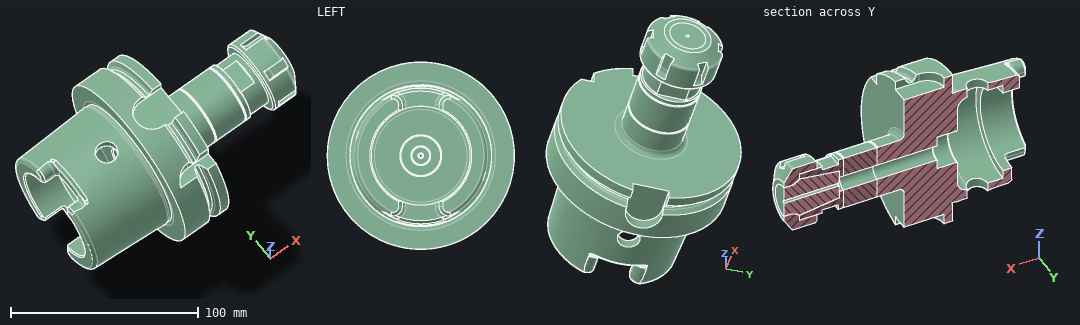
import cadquery as cq
import math


SHANK_LENGTH = 49.7
OVERALL_LENGTH = 151.0
FLANGE_WIDTH = 29.3
HOLDER_END = 45.5
EXTENSION_END = 65.5
SHANK_START = -SHANK_LENGTH
NOSE_END = OVERALL_LENGTH + SHANK_START

CLEARANCE = 0.2

TAPER_LARGE_RADIUS = 37.9
TAPER_SLOPE = 0.05
TAPER_END = -2.4
SHANK_EDGE_FILLET = 2.0
RELIEF_RADIUS = 37.6
RELIEF_OUTER_RADIUS = 39.9
RELIEF_DEPTH = 0.3

BORE_RADIUS = 26.5
BORE_CHAMFER = 0.8
BORE_DEPTH = 19.6
CAVITY_RADIUS = 31.5
CAVITY_DEPTH = 46.8
CAVITY_FILLET = 6.8
COOLANT_RADIUS = 10.5
COOLANT_CHAMFER = 0.6
COOLANT_DEPTH = 12.1
PASSAGE_RADIUS = 4.7
PASSAGE_CHAMFER = 0.6

SLOT_HALF_WIDTH = 9.8
SLOT_STRAIGHT_HEIGHT = 27.2
SLOT_FLARE_RADIUS = 5.0
SLOT_FLARE_SWEEP = 105.0
SLOT_CORNER_FILLET = 2.0
SLOT_MOUTH_CHAMFER_WIDTH = 2.0
SLOT_MOUTH_CHAMFER_LENGTH = 1.4
SLOT_FLOOR_CHAMFER_LENGTH = 2.0
SLOT_FLOOR_CHAMFER_DEPTH = 1.7
UPPER_SLOT_DEPTH = 9.5
LOWER_SLOT_DEPTH = 14.2

CROSS_HOLE_X = -14.8
CROSS_HOLE_RADIUS = 6.0

FLANGE_RADIUS = 50.0
GROOVE_X = 20.1
GROOVE_HALF_WIDTH = 3.5
GROOVE_BEND_HALF_WIDTH = 2.0
GROOVE_BEND_RADIUS = 47.1
GROOVE_FLOOR_HALF_WIDTH = 1.0
GROOVE_FLOOR_RADIUS = 46.0
KEYWAY_X = 15.3
KEYWAY_RADIUS = 10.0
KEYWAY_FLOOR = 43.6
NOTCH_WALL = 31.7

NECK_RADIUS = 17.0
NECK_FILLET = 3.0
JOINT_CHAMFER = 0.5

HEAD_SHOULDER_END = 68.7
HEAD_SHOULDER_CHAMFER = 0.5
HEAD_RADIUS = 16.0
HEAD_FLAT = 13.9
HEAD_FLAT_END = 78.2
HEAD_END = 92.1

COLLET_START = 68.0
COLLET_BACK_RADIUS = 8.9
COLLET_TAPER_ANGLE = 8.0
COLLET_SHOULDER_ANGLE = 30.0
COLLET_FRONT_RADIUS = 10.0
COLLET_BORE_RADIUS = 0.8
COLLET_BORE_CHAMFER = 0.8

NUT_START = 81.4
NUT_RADIUS = 21.1
NUT_BACK_CHAMFER_LENGTH = 0.9
NUT_BACK_CHAMFER_DEPTH = 1.2
NUT_CONE_START = 96.2
NUT_FACE_RADIUS = 13.0
NUT_EDGE_FILLET = 0.9
NUT_SLOT_COUNT = 6
NUT_SLOT_HALF_WIDTH = 2.9
NUT_SLOT_START = 84.5
NUT_SLOT_RUN_IN = 4.1
NUT_SLOT_FLOOR = 18.0


def turned(points):
    """Solid turned about X from a closed outline of (x, radius) points."""
    return cq.Workplane("XY").polyline(points).close().revolve(360, (0, 0, 0), (1, 0, 0))


def rod(start, end, radius):
    """Cylinder along X."""
    return cq.Workplane("YZ", origin=(start, 0, 0)).circle(radius).extrude(end - start)


def ring_at(x, radius):
    """Selector for the circular edges about X at x that are no larger than radius."""
    reach = radius + CLEARANCE
    return cq.selectors.BoxSelector(
        (x - CLEARANCE, -reach, -reach),
        (x + CLEARANCE, reach, reach),
        boundingbox=True,
    )


def holder_outside():
    shank_end_radius = TAPER_LARGE_RADIUS - TAPER_SLOPE * (TAPER_END - SHANK_START)
    body = turned([
        (SHANK_START, 0),
        (SHANK_START, shank_end_radius),
        (TAPER_END, TAPER_LARGE_RADIUS),
        (TAPER_END / 2, RELIEF_RADIUS),
        (RELIEF_DEPTH, RELIEF_RADIUS),
        (0, RELIEF_OUTER_RADIUS),
        (0, FLANGE_RADIUS),
        (GROOVE_X - GROOVE_HALF_WIDTH, FLANGE_RADIUS),
        (GROOVE_X - GROOVE_BEND_HALF_WIDTH, GROOVE_BEND_RADIUS),
        (GROOVE_X - GROOVE_FLOOR_HALF_WIDTH, GROOVE_FLOOR_RADIUS),
        (GROOVE_X + GROOVE_FLOOR_HALF_WIDTH, GROOVE_FLOOR_RADIUS),
        (GROOVE_X + GROOVE_BEND_HALF_WIDTH, GROOVE_BEND_RADIUS),
        (GROOVE_X + GROOVE_HALF_WIDTH, FLANGE_RADIUS),
        (FLANGE_WIDTH, FLANGE_RADIUS),
        (FLANGE_WIDTH, NECK_RADIUS),
        (HOLDER_END - JOINT_CHAMFER, NECK_RADIUS),
        (HOLDER_END, NECK_RADIUS - JOINT_CHAMFER),
        (HOLDER_END, 0),
    ])
    neck_corner = ring_at(FLANGE_WIDTH, NECK_RADIUS)
    body = body.faces("<X").edges().fillet(SHANK_EDGE_FILLET)
    return body.edges(neck_corner).fillet(NECK_FILLET)


def holder_cavity():
    bore_end = SHANK_START + BORE_DEPTH
    floor = SHANK_START + CAVITY_DEPTH
    cavity = rod(bore_end, floor, CAVITY_RADIUS).faces(">X").edges().fillet(CAVITY_FILLET)
    coolant_end = floor + COOLANT_DEPTH
    stepped_bore = turned([
        (SHANK_START, 0),
        (SHANK_START, BORE_RADIUS + BORE_CHAMFER),
        (SHANK_START + BORE_CHAMFER, BORE_RADIUS),
        (bore_end, BORE_RADIUS),
        (bore_end, COOLANT_RADIUS + COOLANT_CHAMFER),
        (floor, COOLANT_RADIUS + COOLANT_CHAMFER),
        (floor + COOLANT_CHAMFER, COOLANT_RADIUS),
        (coolant_end, COOLANT_RADIUS),
        (coolant_end, PASSAGE_RADIUS + PASSAGE_CHAMFER),
        (coolant_end + PASSAGE_CHAMFER, PASSAGE_RADIUS),
        (HOLDER_END, PASSAGE_RADIUS),
        (HOLDER_END, 0),
    ])
    return cavity.union(stepped_bore)


def slot_outline(start, growth=0.0):
    """YZ outline of the slot in the +Z side of the shank, with its walls moved out by growth."""
    half_width = SLOT_HALF_WIDTH + growth
    flare_radius = SLOT_FLARE_RADIUS - growth

    def flare_point(degrees):
        angle = math.radians(degrees)
        y = SLOT_HALF_WIDTH + SLOT_FLARE_RADIUS - flare_radius * math.cos(angle)
        z = SLOT_STRAIGHT_HEIGHT + flare_radius * math.sin(angle)
        return y, z

    mid_y, mid_z = flare_point(SLOT_FLARE_SWEEP / 2)
    end_y, end_z = flare_point(SLOT_FLARE_SWEEP)
    return (
        cq.Workplane("YZ", origin=(start, 0, 0))
        .moveTo(-half_width, 0)
        .lineTo(half_width, 0)
        .lineTo(half_width, SLOT_STRAIGHT_HEIGHT)
        .threePointArc((mid_y, mid_z), (end_y, end_z))
        .lineTo(end_y, FLANGE_RADIUS)
        .lineTo(-end_y, FLANGE_RADIUS)
        .lineTo(-end_y, end_z)
        .threePointArc((-mid_y, mid_z), (-half_width, SLOT_STRAIGHT_HEIGHT))
        .close()
    )


def slot_prism(depth):
    """Slot of full length with its floor corners rounded."""
    prism = slot_outline(SHANK_START).extrude(depth)
    return prism.faces(">X").edges("not(<Z or >Z)").fillet(SLOT_CORNER_FILLET)


def drive_slot(depth):
    """Cutter for one drive slot, with a chamfered mouth and a chamfered floor edge."""
    mouth = cq.Workplane(cq.Solid.makeLoft(
        [
            slot_outline(SHANK_START, SLOT_MOUTH_CHAMFER_WIDTH).wire().val(),
            slot_outline(SHANK_START + SLOT_MOUTH_CHAMFER_LENGTH).wire().val(),
        ],
        True,
    ))
    floor = SHANK_START + depth
    chamfer_end = floor + SLOT_FLOOR_CHAMFER_LENGTH
    end_radius = TAPER_LARGE_RADIUS - TAPER_SLOPE * (TAPER_END - chamfer_end)
    floor_edge_ring = turned([
        (floor, end_radius - SLOT_FLOOR_CHAMFER_DEPTH),
        (chamfer_end, end_radius),
        (chamfer_end, FLANGE_RADIUS),
        (floor, FLANGE_RADIUS),
    ])
    floor_edge = floor_edge_ring.intersect(slot_prism(depth + SLOT_FLOOR_CHAMFER_LENGTH))
    return slot_prism(depth).union(mouth).union(floor_edge)


def keyway_cutter(centre_y, floor, height):
    """Cutter with a rounded end, open at the neck side of the flange."""
    length = FLANGE_WIDTH - KEYWAY_X
    straight = (
        cq.Workplane("XY", origin=(KEYWAY_X + length / 2, centre_y, floor))
        .rect(length, 2 * KEYWAY_RADIUS)
        .extrude(height)
    )
    end = cq.Workplane("XY", origin=(KEYWAY_X, centre_y, floor)).circle(KEYWAY_RADIUS).extrude(height)
    return straight.union(end)


def make_holder():
    body = holder_outside().cut(holder_cavity())
    upper_slot = drive_slot(UPPER_SLOT_DEPTH)
    lower_slot = drive_slot(LOWER_SLOT_DEPTH).rotate((0, 0, 0), (1, 0, 0), 180)
    body = body.cut(upper_slot).cut(lower_slot)

    cross_hole = (
        cq.Workplane("XY", origin=(CROSS_HOLE_X, 0, 0))
        .circle(CROSS_HOLE_RADIUS)
        .extrude(FLANGE_RADIUS, both=True)
    )
    body = body.cut(cross_hole)

    upper_keyway = keyway_cutter(0, KEYWAY_FLOOR, FLANGE_RADIUS - KEYWAY_FLOOR)
    lower_keyway = upper_keyway.mirror("XY")
    notch = keyway_cutter(-NOTCH_WALL - KEYWAY_RADIUS, NOTCH_WALL, FLANGE_RADIUS - NOTCH_WALL)
    return body.cut(upper_keyway).cut(lower_keyway).cut(notch)


def make_extension():
    body = rod(HOLDER_END, EXTENSION_END, NECK_RADIUS).edges().chamfer(JOINT_CHAMFER)
    return body.cut(rod(HOLDER_END, EXTENSION_END, PASSAGE_RADIUS))


def collet_outside():
    taper_length = HEAD_END - COLLET_START
    largest_radius = COLLET_BACK_RADIUS + taper_length * math.tan(math.radians(COLLET_TAPER_ANGLE))
    shoulder_drop = largest_radius - COLLET_FRONT_RADIUS
    shoulder_length = shoulder_drop / math.tan(math.radians(COLLET_SHOULDER_ANGLE))
    return turned([
        (COLLET_START, 0),
        (COLLET_START, COLLET_BACK_RADIUS),
        (HEAD_END, largest_radius),
        (HEAD_END + shoulder_length, COLLET_FRONT_RADIUS),
        (NOSE_END, COLLET_FRONT_RADIUS),
        (NOSE_END, 0),
    ])


def make_collet():
    bore = rod(COLLET_START, NOSE_END, COLLET_BORE_RADIUS)
    body = collet_outside().cut(bore)
    bore_mouth = ring_at(COLLET_START, COLLET_BORE_RADIUS)
    return body.edges(bore_mouth).chamfer(COLLET_BORE_CHAMFER)


def make_head():
    body = turned([
        (EXTENSION_END, 0),
        (EXTENSION_END, NECK_RADIUS - JOINT_CHAMFER),
        (EXTENSION_END + JOINT_CHAMFER, NECK_RADIUS),
        (HEAD_SHOULDER_END, NECK_RADIUS),
        (HEAD_SHOULDER_END + HEAD_SHOULDER_CHAMFER, HEAD_RADIUS),
        (HEAD_END, HEAD_RADIUS),
        (HEAD_END, 0),
    ])
    flat_length = HEAD_FLAT_END - HEAD_SHOULDER_END
    for side in (1, -1):
        flat_depth = NECK_RADIUS - HEAD_FLAT
        flat = cq.Workplane("XY").box(flat_length, 2 * NECK_RADIUS, flat_depth).translate(
            (HEAD_SHOULDER_END + flat_length / 2, 0, side * (HEAD_FLAT + flat_depth / 2))
        )
        body = body.cut(flat)
    return body.cut(rod(EXTENSION_END, HEAD_END, PASSAGE_RADIUS)).cut(collet_outside())


def nut_slot():
    """Cutter for one spanner slot on the -Y side: a round run-in, then a flat floor."""
    run_depth = NUT_RADIUS - NUT_SLOT_FLOOR
    run_radius = (NUT_SLOT_RUN_IN**2 + run_depth**2) / (2 * run_depth)
    half_angle = math.atan2(run_depth, NUT_SLOT_RUN_IN)
    run_end = NUT_SLOT_START + NUT_SLOT_RUN_IN
    mid_x = run_end - run_radius * math.sin(half_angle)
    mid_radius = NUT_SLOT_FLOOR + run_radius * (1 - math.cos(half_angle))
    outside = NUT_RADIUS + CLEARANCE
    return (
        cq.Workplane("XY")
        .moveTo(NUT_SLOT_START, -outside)
        .lineTo(NUT_SLOT_START, -NUT_RADIUS)
        .threePointArc((mid_x, -mid_radius), (run_end, -NUT_SLOT_FLOOR))
        .lineTo(NOSE_END, -NUT_SLOT_FLOOR)
        .lineTo(NOSE_END, -outside)
        .close()
        .extrude(NUT_SLOT_HALF_WIDTH, both=True)
    )


def make_nut():
    body = turned([
        (NUT_START, 0),
        (NUT_START, NUT_RADIUS - NUT_BACK_CHAMFER_DEPTH),
        (NUT_START + NUT_BACK_CHAMFER_LENGTH, NUT_RADIUS),
        (NUT_CONE_START, NUT_RADIUS),
        (NOSE_END, NUT_FACE_RADIUS),
        (NOSE_END, 0),
    ])
    cone_edge = ring_at(NUT_CONE_START, NUT_RADIUS)
    body = body.edges(cone_edge).fillet(NUT_EDGE_FILLET)
    body = body.cut(rod(NUT_START, HEAD_END, HEAD_RADIUS)).cut(collet_outside())
    for index in range(NUT_SLOT_COUNT):
        body = body.cut(nut_slot().rotate((0, 0, 0), (1, 0, 0), index * 360 / NUT_SLOT_COUNT))
    return body


holder = make_holder()
extension = make_extension()
head = make_head()
collet = make_collet()
nut = make_nut()

result = cq.Compound.makeCompound([
    holder.val(),
    extension.val(),
    head.val(),
    collet.val(),
    nut.val(),
])